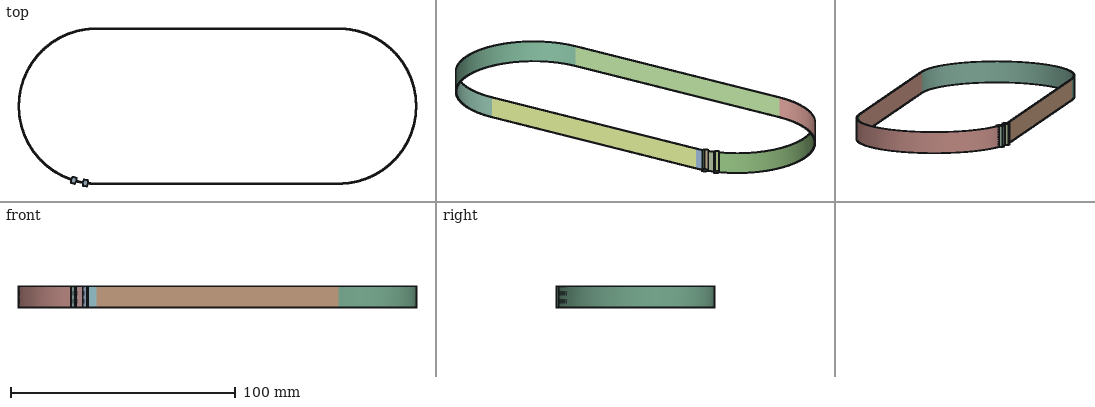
import cadquery as cq

overall_length = 177.4
band_width = 69.5
band_height = 9.5
band_thickness = 0.45
rib_base_width = 2.5
rib_tip_width = 1.8
rib_projection = 1.2
rib_angles = (8.1, 17.0)

outer_radius = band_width / 2
arc_center_x = outer_radius - overall_length / 2
rib_tip_offset = band_thickness / 2 + rib_projection
rib_center_radius = outer_radius - band_thickness / 2


def racetrack(length, width):
    """Solid with straight sides and full-round ends, standing on Z = 0."""
    return cq.Workplane("XY").slot2D(length, width).extrude(band_height)


def band():
    """Thin closed loop of constant wall thickness."""
    outer = racetrack(overall_length, band_width)
    inner = racetrack(overall_length - 2 * band_thickness, band_width - 2 * band_thickness)
    return outer.cut(inner)


def rib(angle):
    """Full-height rib crossing the left arc radially, widest at the band and tapering to both ends."""
    half_base = rib_base_width / 2
    half_tip = rib_tip_width / 2
    half_wall = band_thickness / 2
    outline = [
        (-half_tip, -rib_tip_offset),
        (half_tip, -rib_tip_offset),
        (half_base, -half_wall),
        (half_base, half_wall),
        (half_tip, rib_tip_offset),
        (-half_tip, rib_tip_offset),
        (-half_base, half_wall),
        (-half_base, -half_wall),
    ]
    return (
        cq.Workplane("XY")
        .center(arc_center_x, 0)
        .transformed(rotate=(0, 0, -angle))
        .center(0, -rib_center_radius)
        .polyline(outline)
        .close()
        .extrude(band_height)
    )


result = band()
for rib_angle in rib_angles:
    result = result.union(rib(rib_angle))